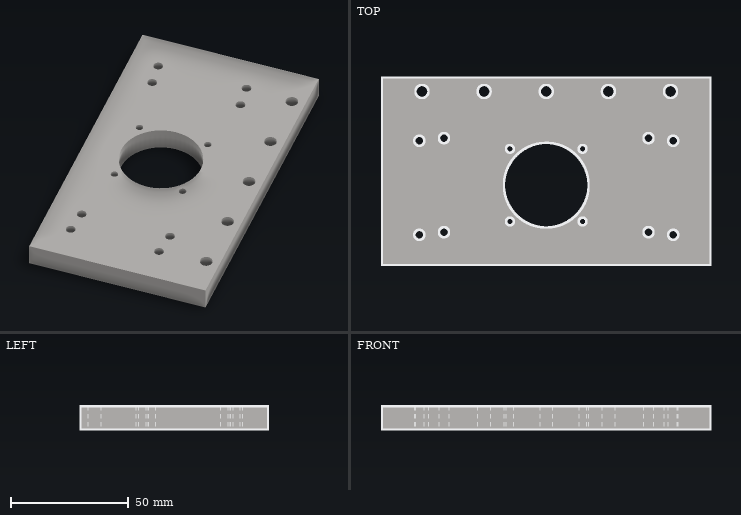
import cadquery as cq

length = 140.0
width = 80.0
thickness = 10.0

row_count = 5
row_pitch = 26.5
row_y = 34.0
row_diameter = 5.5

bore_y = -5.9
bore_diameter = 36.0
screw_pitch = 31.0
screw_diameter = 3.2

side_diameter = 4.2
side_pitch = 40.0
inner_x = 43.5
outer_x = 54.0
column_offset_y = 1.1
inner_y = bore_y
outer_y = inner_y - column_offset_y


def cut_holes(plate, points, diameter):
    """Drill straight through the plate at each point."""
    return plate.faces(">Z").workplane(origin=(0, 0, thickness)).pushPoints(points).hole(diameter)


def rectangle_corners(spacing_x, spacing_y, center_y):
    """Corners of a rectangle centred on X = 0."""
    return [
        (side_x * spacing_x / 2, center_y + side_y * spacing_y / 2)
        for side_x in (-1, 1)
        for side_y in (-1, 1)
    ]


plate = cq.Workplane("XY").box(length, width, thickness, centered=(True, True, False))

row_points = [((i - (row_count - 1) / 2) * row_pitch, row_y) for i in range(row_count)]
plate = cut_holes(plate, row_points, row_diameter)

plate = cut_holes(plate, [(0, bore_y)], bore_diameter)
plate = cut_holes(plate, rectangle_corners(screw_pitch, screw_pitch, bore_y), screw_diameter)

for column_x, column_y in ((inner_x, inner_y), (outer_x, outer_y)):
    plate = cut_holes(plate, rectangle_corners(2 * column_x, side_pitch, column_y), side_diameter)

result = plate